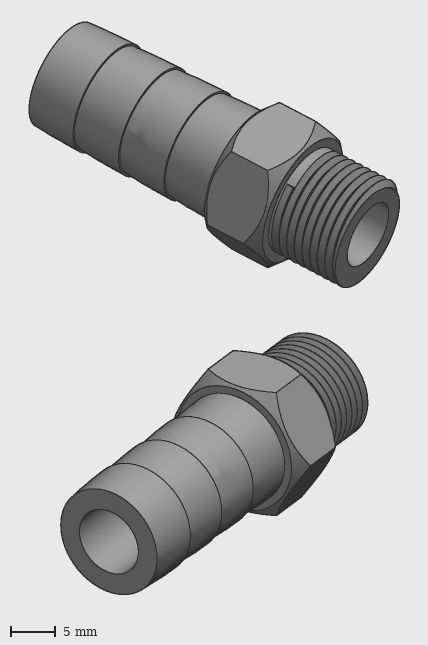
import cadquery as cq
import math

total_length = 42.0
bore_diameter = 8.0

barb_length = 25.0
barb_count = 4
barb_small_diameter = 13.05
barb_large_diameter = 13.55

hex_length = 8.02
hex_across_flats = 16.0
hex_face_diameter = 15.4

thread_diameter = 13.15
thread_pitch = 1.05
groove_depth = 0.8
groove_width = 1.0
groove_overshoot = 0.05
groove_start_offset = 0.75
runout_turns = 2
groove_start_angle = 30.0

hex_corner_diameter = hex_across_flats / math.cos(math.pi / 6)
hex_end = barb_length + hex_length
thread_radius = thread_diameter / 2


def make_barbs():
    """Hose tail whose barbs swell in a shallow arc, each ending in a small step."""
    small_radius = barb_small_diameter / 2
    rise = barb_large_diameter / 2 - small_radius
    pitch = barb_length / barb_count
    middle_rise = 0.75 * rise
    profile = cq.Workplane("XY").moveTo(0, 0)
    for index in range(barb_count):
        start = index * pitch
        profile = profile.lineTo(start, small_radius).threePointArc(
            (start + pitch / 2, small_radius + middle_rise),
            (start + pitch, small_radius + rise),
        )
    profile = profile.lineTo(barb_length, 0).close()
    return profile.revolve(360, (0, 0, 0), (1, 0, 0))


def make_hexagon():
    """Hexagon with its corners turned off by 45 degree cones at both ends."""
    prism = (
        cq.Workplane("YZ", origin=(barb_length, 0, 0))
        .polygon(6, hex_corner_diameter)
        .extrude(hex_length)
    )
    chamfer = (hex_corner_diameter - hex_face_diameter) / 2
    turned_blank = (
        cq.Workplane("YZ", origin=(barb_length, 0, 0))
        .circle(hex_corner_diameter / 2)
        .extrude(hex_length)
        .edges()
        .chamfer(chamfer)
    )
    return prism.intersect(turned_blank)


def make_thread_groove():
    """Right-hand V groove that starts abruptly and runs out through the end face."""
    start = hex_end + groove_start_offset
    helix_height = total_length - start + runout_turns * thread_pitch
    path = cq.Wire.makeHelix(thread_pitch, helix_height, thread_radius)
    cutter_half_width = groove_width / 2 * (1 + groove_overshoot / groove_depth)
    cutter_radius = thread_radius + groove_overshoot
    groove = (
        cq.Workplane("XZ")
        .moveTo(thread_radius - groove_depth, 0)
        .lineTo(cutter_radius, cutter_half_width)
        .lineTo(cutter_radius, -cutter_half_width)
        .close()
        .sweep(cq.Workplane(path), isFrenet=True)
    )
    return (
        groove.rotate((0, 0, 0), (0, 1, 0), 90)
        .rotate((0, 0, 0), (1, 0, 0), 180 + groove_start_angle)
        .translate((start, 0, 0))
    )


def make_threaded_end():
    """Plain cylinder with the helical groove cut into it."""
    blank = (
        cq.Workplane("YZ", origin=(hex_end, 0, 0))
        .circle(thread_radius)
        .extrude(total_length - hex_end)
    )
    return blank.cut(make_thread_groove())


bore = cq.Workplane("YZ").circle(bore_diameter / 2).extrude(total_length)
result = make_barbs().union(make_hexagon()).union(make_threaded_end()).cut(bore)